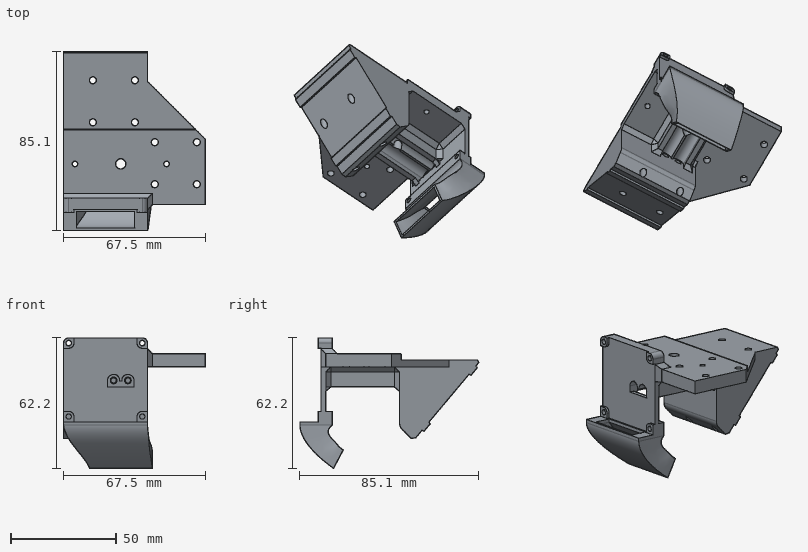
import cadquery as cq
import math


clearance = 1.0

plate_thickness = 6.35
plate_length_x = 67.47
plate_front_y = 3.65
step_y = 39.6
step_edge_chamfer = 0.45
rear_top_z = -3.0
diagonal_sum = 102.3
body_width = 40.0
concave_chamfer = 2.4

hole_pitch = 20.0
screw_diameter = 3.2
rear_holes_x = 14.0
rear_holes_y = 42.85
front_holes_x = 43.45
front_holes_y = 13.4
center_hole_diameter = 4.76
center_x = 27.25
center_y = 23.05
side_hole_diameter = 2.5
side_hole_offset = 21.8

back_y = 76.46
back_chamfer_y = 75.8
back_corner_z = -4.2
wedge_front_y = 38.65
slope_angle = 50.0
slope_start_y = 75.1
slope_start_z = -6.0
slope_length = 44.5
pad_length = 5.1
pad_height = 1.0
pad_pitch = 34.8
pad_taper = 0.2
wedge_toe_y = 44.3
wedge_toe_z = -40.45
wedge_toe_radius = 4.5
blind_hole_diameter = 2.5
blind_hole_depth = 10.0
counterbore_depth = 2.0

fan_size = 40.0
fan_top_z = 7.5
fan_bottom_z = fan_top_z - fan_size
fan_hole_inset = 2.5
fan_hole_diameter = 2.5
boss_size = 5.0
boss_height = 1.25
fan_corner_radius = 2.5
fan_back_y = 6.75
skirt_size = 2.3

window_pitch = 6.8
window_radius = 2.9
window_z = -12.8
window_bottom_z = -15.85
window_tooth_drop = 0.25

housing_wall = 2.5
housing_half_width = window_pitch / 2 + window_radius + housing_wall
housing_bottom_z = -15.9
gusset_drop = 2.1

ledge_front_y = -8.65
ledge_bottom_z = -34.1
opening_left = 6.2
opening_right = 33.8
opening_front_y = -7.46
opening_back_y = 0.37
duct_wall = 1.0
duct_back_falloff = 6
duct_left_wall = 1.2
duct_tip_z = -54.66
duct_stations = [
    (fan_back_y, ledge_bottom_z, ledge_front_y, ledge_bottom_z, 0.0, body_width),
    (4.85, -37.1, -8.0, -37.8, 1.0, 40.3),
    (6.5, -40.45, -5.06, -43.1, 4.2, 40.7),
    (8.8, -42.9, 0.2, -48.9, 8.8, 41.4),
    (11.97, -45.9, 7.33, duct_tip_z, 12.4, 42.25),
]


def box(x0, x1, y0, y1, z0, z1):
    return cq.Workplane("XY").box(x1 - x0, y1 - y0, z1 - z0, centered=False).translate((x0, y0, z0))


def side_prism(points, x0, x1):
    """Extrude a (y, z) outline from x0 to x1."""
    return cq.Workplane("YZ").workplane(offset=x0).polyline(points).close().extrude(x1 - x0)


def vertical_hole(x, y, diameter):
    bottom_z = wedge_toe_z - clearance
    height = clearance - bottom_z
    return cq.Workplane("XY").workplane(offset=bottom_z).center(x, y).circle(diameter / 2).extrude(height)


def hole_along_y(x, z, diameter, y0, y1):
    return cq.Workplane("XZ").workplane(offset=-y0).center(x, z).circle(diameter / 2).extrude(y0 - y1)


def make_plate():
    front = box(0, plate_length_x, plate_front_y, step_y, -plate_thickness, 0)
    front = front.edges(">Y and >Z").chamfer(step_edge_chamfer)
    rear = box(0, plate_length_x, step_y, diagonal_sum - body_width, -plate_thickness, rear_top_z)
    cut_y = diagonal_sum - plate_length_x
    diagonal = (
        cq.Workplane("XY")
        .workplane(offset=-plate_thickness)
        .moveTo(plate_length_x, cut_y)
        .lineTo(body_width, diagonal_sum - body_width)
        .lineTo(plate_length_x, diagonal_sum - body_width)
        .close()
        .extrude(plate_thickness)
    )
    return front.union(rear).cut(diagonal)


def slope_point(along, outward):
    """Point on the wedge's sloping face, measured down the slope and out from it."""
    angle = math.radians(slope_angle)
    y = slope_start_y - along * math.cos(angle) + outward * math.sin(angle)
    z = slope_start_z - along * math.sin(angle) - outward * math.cos(angle)
    return y, z


def make_wedge():
    points = [(wedge_front_y, rear_top_z), (back_chamfer_y, rear_top_z), (back_y, back_corner_z)]
    for start in (0, pad_pitch):
        points += [
            slope_point(start, 0),
            slope_point(start + pad_taper, pad_height),
            slope_point(start + pad_length - pad_taper, pad_height),
            slope_point(start + pad_length, 0),
        ]
    points.append(slope_point(slope_length, 0))
    points.append((wedge_toe_y, wedge_toe_z))
    toe_corner_z = wedge_toe_z + wedge_toe_y - wedge_front_y
    points.append((wedge_front_y, toe_corner_z))
    wedge = side_prism(points, 0, body_width)
    toe_edge = cq.selectors.NearestToPointSelector((body_width / 2, wedge_front_y, toe_corner_z))
    return wedge.edges(toe_edge).fillet(wedge_toe_radius)


def make_fan_plate():
    wall = box(0, fan_size, boss_height, fan_back_y, fan_bottom_z, fan_top_z)
    pocket = box(0, fan_size, plate_front_y, fan_back_y, fan_bottom_z + boss_size, -plate_thickness)
    wall = wall.cut(pocket)
    for right in (False, True):
        for top in (False, True):
            x0 = fan_size - boss_size if right else 0
            z0 = fan_top_z - boss_size if top else fan_bottom_z
            boss = box(x0, x0 + boss_size, 0, boss_height, z0, z0 + boss_size)
            inner_edge = f"|Y and {'<X' if right else '>X'} and {'<Z' if top else '>Z'}"
            wall = wall.union(boss.edges(inner_edge).fillet(fan_corner_radius))
    rounding = box(0, fan_size, 0, fan_back_y, ledge_bottom_z, fan_top_z)
    rounding = rounding.edges("|Y and >Z").fillet(fan_corner_radius)
    return wall.intersect(rounding)


def make_skirt():
    """45 degree skirt where the fan plate rises out of the mounting plate."""
    outer_x = fan_size + skirt_size
    outer_y = fan_back_y + skirt_size
    rear_slope = side_prism(
        [
            (boss_height, -plate_thickness),
            (outer_y, -plate_thickness),
            (outer_y, 0),
            (fan_back_y, skirt_size),
            (boss_height, skirt_size),
        ],
        0,
        outer_x,
    )
    side_slope = (
        cq.Workplane("XZ")
        .polyline(
            [
                (0, -plate_thickness),
                (outer_x, -plate_thickness),
                (outer_x, 0),
                (fan_size, skirt_size),
                (0, skirt_size),
            ]
        )
        .close()
        .extrude(-outer_y)
    )
    front_corner = (
        cq.Workplane("XY")
        .workplane(offset=-plate_thickness)
        .polyline([(fan_size, boss_height), (outer_x, boss_height), (outer_x, boss_height + skirt_size)])
        .close()
        .extrude(plate_thickness + skirt_size)
    )
    return rear_slope.intersect(side_slope).cut(front_corner)


def make_housing():
    """Housing under the plate, with every corner it makes with plate, wedge and fan plate chamfered."""
    housing_x = center_x - housing_half_width
    c = concave_chamfer
    low_z = housing_bottom_z - gusset_drop
    block = box(0, body_width, plate_front_y, wedge_front_y, low_z, -plate_thickness)
    lower_opening = side_prism(
        [
            (plate_front_y, low_z),
            (wedge_front_y, low_z),
            (wedge_front_y - c, housing_bottom_z),
            (plate_front_y + c, housing_bottom_z),
        ],
        0,
        body_width,
    )
    room = box(-body_width, housing_x, plate_front_y, wedge_front_y, low_z, -plate_thickness)
    room = room.edges("(|X and >Z) or (>X and (not <Z))").chamfer(c)
    below_chamfer = box(
        -body_width, housing_x, plate_front_y, plate_front_y + c, low_z, housing_bottom_z
    )
    room = room.union(below_chamfer)
    other_room = room.mirror("YZ", (center_x, 0, 0))
    return block.cut(lower_opening).cut(room).cut(other_room)


def duct_section(station, left, right, front, back):
    """Rectangular wire at a duct station, inset by the given amounts."""
    rear_y, rear_z, front_y, front_z, left_x, right_x = station
    length = math.hypot(front_y - rear_y, front_z - rear_z)
    unit_y = (front_y - rear_y) / length
    unit_z = (front_z - rear_z) / length
    y0 = rear_y + unit_y * back
    z0 = rear_z + unit_z * back
    y1 = front_y - unit_y * front
    z1 = front_z - unit_z * front
    x0 = left_x + left
    x1 = right_x - right
    corners = [(x0, y0, z0), (x1, y0, z0), (x1, y1, z1), (x0, y1, z1)]
    return cq.Wire.makePolygon([cq.Vector(*corner) for corner in corners], close=True)


def blend(start, end, fraction):
    return start + (end - start) * fraction


def make_duct():
    outer_wires = []
    inner_wires = []
    last = len(duct_stations) - 1
    for index, station in enumerate(duct_stations):
        fraction = index / last
        back_fraction = 1 - (1 - fraction) ** duct_back_falloff
        left = blend(opening_left, duct_left_wall, fraction)
        right = blend(body_width - opening_right, duct_wall, fraction)
        front = blend(opening_front_y - ledge_front_y, duct_wall, fraction)
        back = blend(fan_back_y - opening_back_y, duct_wall, back_fraction)
        outer_wires.append(duct_section(station, 0, 0, 0, 0))
        inner_wires.append(duct_section(station, left, right, front, back))
    outer = cq.Workplane(cq.Solid.makeLoft(outer_wires))
    inner = cq.Workplane(cq.Solid.makeLoft(inner_wires))
    ledge = box(0, body_width, ledge_front_y, fan_back_y, ledge_bottom_z, fan_bottom_z)
    opening = box(opening_left, opening_right, opening_front_y, opening_back_y, ledge_bottom_z, fan_bottom_z)
    return outer.cut(inner).union(ledge.cut(opening))


def make_plate_holes():
    holes = vertical_hole(center_x, center_y, center_hole_diameter)
    for x in (center_x - side_hole_offset, center_x + side_hole_offset):
        holes = holes.union(vertical_hole(x, center_y, side_hole_diameter))
    for x, y in ((rear_holes_x, rear_holes_y), (front_holes_x, front_holes_y)):
        for dx in (0, hole_pitch):
            for dy in (0, hole_pitch):
                holes = holes.union(vertical_hole(x + dx, y + dy, screw_diameter))
    return holes


def make_fan_holes():
    holes = cq.Workplane("XY")
    for x in (fan_hole_inset, fan_size - fan_hole_inset):
        for z in (fan_bottom_z + fan_hole_inset, fan_top_z - fan_hole_inset):
            holes = holes.add(hole_along_y(x, z, fan_hole_diameter, 0, fan_back_y))
    return holes.combine()


def twin_positions():
    return center_x - window_pitch / 2, center_x + window_pitch / 2


def twin_arches(y0, y1, bottom_z):
    """Two arched openings joined along the bottom, leaving a tooth between the arches."""
    left = min(twin_positions()) - window_radius
    right = max(twin_positions()) + window_radius
    opening = box(left, right, y0, y1, bottom_z, window_z - window_tooth_drop)
    for x in twin_positions():
        opening = opening.union(hole_along_y(x, window_z, 2 * window_radius, y0, y1))
        opening = opening.union(box(x - window_radius, x + window_radius, y0, y1, bottom_z, window_z))
    return opening


def make_window_and_channel():
    window = twin_arches(boss_height, plate_front_y, window_bottom_z)
    channel = twin_arches(plate_front_y, wedge_front_y, housing_bottom_z - gusset_drop)
    return window.union(channel)


def make_wedge_holes():
    """Counterbored blind holes in the wedge's front face."""
    end_y = wedge_front_y + blind_hole_depth
    counterbore_y = wedge_front_y + counterbore_depth
    holes = cq.Workplane("XY")
    for x in twin_positions():
        hole = hole_along_y(x, window_z, blind_hole_diameter, wedge_front_y, end_y)
        holes = holes.add(hole.union(hole_along_y(x, window_z, screw_diameter, wedge_front_y, counterbore_y)))
    return holes.combine()


body = make_plate().union(make_wedge()).union(make_fan_plate()).union(make_skirt()).union(make_housing())
body = body.union(make_duct())
result = body.cut(make_plate_holes()).cut(make_fan_holes()).cut(make_window_and_channel()).cut(make_wedge_holes())